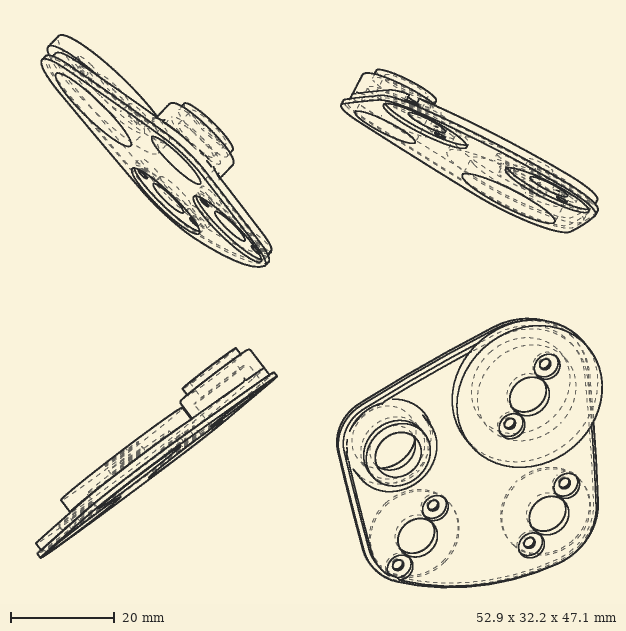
import cadquery as cq
import math

TILT = -math.degrees(math.atan(math.sqrt(2)))

FLANGE_TOP = 1.0
PLATE_TOP = 2.75
DISK_HEIGHT = 2.95
FLOOR_THICKNESS = 2.0
DISK_TOP = PLATE_TOP + DISK_HEIGHT
SOCKET_DEPTH = 5.5
SHOULDER_TOP = 7.5
BOSS_TOP = 9.15

FRONT_LEFT_CORNER = (0.3, -0.05, 14.0)
FRONT_RIGHT_CORNER = (29.63, 0.2, 8.47)
BACK_RIGHT_CORNER = (27.45, 21.75, 10.63)
BACK_LEFT_CORNER = (2.75, 26.7, 12.0)
FRONT_EDGE_RADIUS = 320.0
RIGHT_EDGE_RADIUS = 700.0
BACK_EDGE_RADIUS = 49.1
LEFT_EDGE_RADIUS = 430.0
FLANGE_WIDTH = 1.0

DISK_CENTRE = (0.0, 0.0)
LEFT_SEAT_CENTRE = (1.38, 27.28)
RIGHT_SEAT_CENTRE = (27.56, 22.26)
DISK_DIAMETER = 29.5
DISK_RECESS_DIAMETER = 20.0
SEAT_RECESS_DIAMETER = 18.0
SHAFT_DIAMETER = 8.0
SCREW_DIAMETER = 2.2
SCREW_HEAD_DIAMETER = 5.2
SCREW_HEAD_DEPTH = 1.2
SCREW_OFFSET = 4.8

BOSS_CENTRE = (28.64, 0.6)
SHOULDER_DIAMETER = 17.0
BOSS_DIAMETER = 13.0
SOCKET_DIAMETER = 13.0
BOSS_BORE_DIAMETER = 9.3
SHOULDER_ROUND = 0.5
BASE_FILLET = 0.5


def cylinder(centre, diameter, bottom, top):
    """Upright cylinder between two heights."""
    return cq.Workplane("XY", origin=(*centre, bottom)).circle(diameter / 2).extrude(top - bottom)


def edge_arc(start_corner, end_corner, radius):
    """Start, middle and end of the larger arc that encloses and touches two corner arcs."""
    x1, y1, r1 = start_corner
    x2, y2, r2 = end_corner
    reach1 = radius - r1
    reach2 = radius - r2
    span = math.hypot(x2 - x1, y2 - y1)
    ux = (x2 - x1) / span
    uy = (y2 - y1) / span
    along = (reach1**2 - reach2**2 + span**2) / (2 * span)
    across = math.sqrt(reach1**2 - along**2)
    cx = x1 + ux * along - uy * across
    cy = y1 + uy * along + ux * across

    def point_towards(x, y):
        distance = math.hypot(x - cx, y - cy)
        return (cx + (x - cx) * radius / distance, cy + (y - cy) * radius / distance)

    start = point_towards(x1, y1)
    end = point_towards(x2, y2)
    middle = point_towards((start[0] + end[0]) / 2, (start[1] + end[1]) / 2)
    return start, middle, end


def corner_middle(corner, start, end):
    """Middle point of a corner arc between two of its points."""
    x, y, radius = corner
    dx = (start[0] + end[0]) / 2 - x
    dy = (start[1] + end[1]) / 2 - y
    distance = math.hypot(dx, dy)
    return (x + dx * radius / distance, y + dy * radius / distance)


def plate(inset, height):
    """Slab with the plate outline, drawn in by an inset."""
    edges = [
        (FRONT_LEFT_CORNER, FRONT_RIGHT_CORNER, FRONT_EDGE_RADIUS),
        (FRONT_RIGHT_CORNER, BACK_RIGHT_CORNER, RIGHT_EDGE_RADIUS),
        (BACK_RIGHT_CORNER, BACK_LEFT_CORNER, BACK_EDGE_RADIUS),
        (BACK_LEFT_CORNER, FRONT_LEFT_CORNER, LEFT_EDGE_RADIUS),
    ]
    arcs = []
    corners = []
    for (x1, y1, r1), (x2, y2, r2), radius in edges:
        end_corner = (x2, y2, r2 - inset)
        arcs.append(edge_arc((x1, y1, r1 - inset), end_corner, radius - inset))
        corners.append(end_corner)

    first_point = arcs[0][0]
    outline = cq.Workplane("XY").moveTo(*first_point)
    for index, (_, middle, end) in enumerate(arcs):
        next_start = arcs[(index + 1) % len(arcs)][0]
        outline = outline.threePointArc(middle, end)
        outline = outline.threePointArc(corner_middle(corners[index], end, next_start), next_start)
    return outline.close().extrude(height)


def cut_seat(body, centre, recess_diameter, top):
    """Recess from below, shaft hole and two counterbored screw holes."""
    x, y = centre
    body = body.cut(cylinder(centre, recess_diameter, 0, top - FLOOR_THICKNESS))
    body = body.cut(cylinder(centre, SHAFT_DIAMETER, 0, top))
    for side in (-1, 1):
        screw = (x + side * SCREW_OFFSET, y + side * SCREW_OFFSET)
        body = body.cut(cylinder(screw, SCREW_DIAMETER, 0, top))
        body = body.cut(cylinder(screw, SCREW_HEAD_DIAMETER, top - SCREW_HEAD_DEPTH, top))
    return body


def boss():
    """Stepped boss with a rounded shoulder."""
    shoulder = cylinder(BOSS_CENTRE, SHOULDER_DIAMETER, PLATE_TOP, SHOULDER_TOP)
    shoulder = shoulder.faces(">Z").edges().fillet(SHOULDER_ROUND)
    return shoulder.union(cylinder(BOSS_CENTRE, BOSS_DIAMETER, PLATE_TOP, BOSS_TOP))


def base_fillet():
    """Concave fillet ring at the foot of the boss, kept inside the rim of the plate."""
    inner = SHOULDER_DIAMETER / 2
    outer = inner + BASE_FILLET
    upper = PLATE_TOP + BASE_FILLET
    bend = BASE_FILLET * (1 - math.sqrt(0.5))
    ring = (
        cq.Workplane("XZ")
        .moveTo(0, PLATE_TOP)
        .lineTo(outer, PLATE_TOP)
        .threePointArc((inner + bend, PLATE_TOP + bend), (inner, upper))
        .lineTo(0, upper)
        .close()
        .revolve(360, (0, 0, 0), (0, 1, 0))
        .translate((*BOSS_CENTRE, 0))
    )
    return ring.intersect(plate(FLANGE_WIDTH, upper))


body = plate(0, FLANGE_TOP).union(plate(FLANGE_WIDTH, PLATE_TOP))
body = body.union(cylinder(DISK_CENTRE, DISK_DIAMETER, PLATE_TOP, DISK_TOP))
body = body.union(boss()).union(base_fillet())
body = cut_seat(body, DISK_CENTRE, DISK_RECESS_DIAMETER, DISK_TOP)
body = cut_seat(body, LEFT_SEAT_CENTRE, SEAT_RECESS_DIAMETER, PLATE_TOP)
body = cut_seat(body, RIGHT_SEAT_CENTRE, SEAT_RECESS_DIAMETER, PLATE_TOP)
body = body.cut(cylinder(BOSS_CENTRE, SOCKET_DIAMETER, 0, SOCKET_DEPTH))
body = body.cut(cylinder(BOSS_CENTRE, BOSS_BORE_DIAMETER, 0, BOSS_TOP))

result = body.rotate((0, 0, 0), (1, 0, 0), TILT)